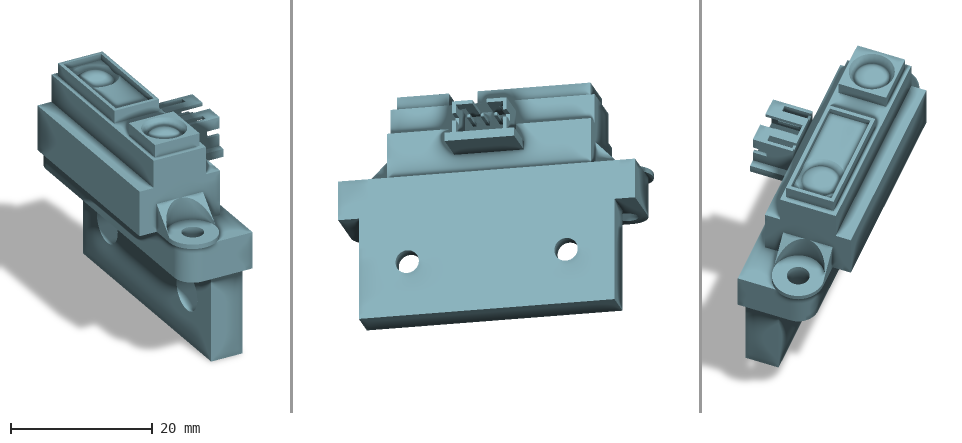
import cadquery as cq
import math


overall_width = 44.5
ear_diameter = 7.48
ear_hole_diameter = 3.2
ear_spacing = overall_width - ear_diameter
ear_xs = (-ear_spacing / 2, ear_spacing / 2)

corner_radius = 3.0
shelf_width = ear_spacing + 2 * corner_radius
shelf_depth = 11.0
shelf_thickness = 5.8
shelf_front = -corner_radius
bracket_back = shelf_front + shelf_depth
leg_width = ear_spacing
leg_height = 15.0
leg_thickness = 5.05
leg_front = bracket_back - leg_thickness
mount_hole_diameter = 3.4
mount_bore_diameter = 6.0
mount_bore_depth = 3.0
mount_hole_spacing = 23.0
mount_hole_height = 8.0
seat_height = leg_height + shelf_thickness

body_width = overall_width - 2 * ear_diameter
body_depth = 13.0
body_height = 7.1
body_back = body_depth / 2
neck_depth = 8.45
neck_height = 4.35
neck_top = seat_height + body_height + neck_height
tower_depth = 7.2
tower_height = 2.0
tower_margin = 0.75
tower_top = neck_top + tower_height
ear_thickness = 0.7

long_tower_width = 16.35
short_tower_width = 7.5
long_tower_x = -body_width / 2 + tower_margin + long_tower_width / 2
short_tower_x = body_width / 2 - tower_margin - short_tower_width / 2

window_wall = 0.55
window_depth = 1.0
long_lens_x = -9.75
long_lens_mouth = 6.9
long_lens_base = 5.4
long_lens_depth = 0.6
long_lens_rise = 1.05
short_lens_mouth = 6.5
short_lens_base = 5.05
short_lens_depth = 1.15
short_lens_rise = 1.0

connector_length = 6.0
connector_back = body_back + connector_length
base_width = 10.05
base_lift = 3.2
base_bottom = seat_height + base_lift
base_thickness = 1.25
socket_bottom = base_bottom + base_thickness
socket_width = 7.88
socket_height = 4.6
socket_top = socket_bottom + socket_height
socket_wall = 0.55
rear_wall = 0.4
key_slot_width = 2.05
side_slot_lift = 1.75
side_slot_bottom = socket_bottom + side_slot_lift
side_slot_height = 1.05
side_slot_length = 2.05
latch_width = 1.0
latch_length = 4.05
pin_size = 0.5
pin_length = 4.45
pin_tip = 0.1
pin_lift = 2.6
pin_bottom = socket_bottom + pin_lift
pin_pitch = 1.95
pin_count = 3


def block(x_size, y_range, z_range, x_middle=0.0):
    """Box centred on x_middle that spans the given Y and Z ranges."""
    y_start, y_end = y_range
    z_start, z_end = z_range
    box = cq.Workplane("XY").box(x_size, y_end - y_start, z_end - z_start, centered=(True, False, False))
    return box.translate((x_middle, y_start, z_start))


def upright_cylinder(diameter, x, z_range):
    """Vertical cylinder on the ear axis row (Y = 0)."""
    z_start, z_end = z_range
    return cq.Workplane("XY", origin=(x, 0, z_start)).circle(diameter / 2).extrude(z_end - z_start)


def make_bracket():
    """Upright leg under a shelf that carries the sensor's ears."""
    shelf = block(shelf_width, (shelf_front, bracket_back), (leg_height, seat_height))
    shelf = shelf.edges("|Z and <Y").fillet(corner_radius)
    leg = block(leg_width, (leg_front, bracket_back), (0, leg_height))
    bracket = shelf.union(leg)
    for x in ear_xs:
        bracket = bracket.cut(upright_cylinder(ear_hole_diameter, x, (leg_height, seat_height)))
    leg_face = cq.Workplane("XZ", origin=(0, leg_front, mount_hole_height))
    mount_holes = leg_face.rarray(mount_hole_spacing, 0.45, 2, 1)
    bores = mount_holes.circle(mount_bore_diameter / 2).extrude(-mount_bore_depth)
    holes = mount_holes.circle(mount_hole_diameter / 2).extrude(-leg_thickness)
    return bracket.cut(bores).cut(holes)


def add_ear(housing, x):
    """Round screw ear joined to the body end by a 45 degree gusset."""
    side = math.copysign(1, x)
    ear_top = seat_height + ear_thickness
    body_end = side * body_width / 2
    gusset_rise = abs(x - body_end)
    gusset = (
        cq.Workplane("XZ")
        .moveTo(x, seat_height)
        .lineTo(x, ear_top)
        .lineTo(body_end, ear_top + gusset_rise)
        .lineTo(body_end, seat_height)
        .close()
        .extrude(ear_diameter / 2, both=True)
    )
    screw_head_room = upright_cylinder(ear_diameter, x, (ear_top, ear_top + gusset_rise))
    ear = upright_cylinder(ear_diameter, x, (seat_height, ear_top))
    hole = upright_cylinder(ear_hole_diameter, x, (seat_height, ear_top))
    return housing.union(gusset.cut(screw_head_room).union(ear)).cut(hole)


def lens_pocket(x, z, mouth, base, depth):
    """Conical pocket that narrows from its mouth at height z to the base diameter."""
    pocket = cq.Solid.makeCone(base / 2, mouth / 2, depth)
    return cq.Workplane(pocket).translate((x, 0, z - depth))


def lens_dome(x, z, base, rise):
    """Spherical cap that stands on a base circle at height z."""
    base_radius = base / 2
    sphere_radius = (base_radius**2 + rise**2) / (2 * rise)
    sphere = cq.Workplane("XY").sphere(sphere_radius).translate((x, 0, z + rise - sphere_radius))
    return sphere.intersect(upright_cylinder(base, x, (z, z + rise)))


def make_connector():
    """Open-backed socket on a wider base, with pins inside."""
    base = block(base_width, (body_back, connector_back), (base_bottom, socket_bottom))
    socket = block(socket_width, (body_back, connector_back), (socket_bottom, socket_top))
    cavity_front = body_back + rear_wall
    cavity_width = socket_width - 2 * socket_wall
    cavity_top = socket_top - socket_wall
    cavity = block(cavity_width, (cavity_front, connector_back), (socket_bottom, cavity_top))
    key_slot = block(key_slot_width, (cavity_front, connector_back), (cavity_top, socket_top))
    side_slots = block(
        socket_width,
        (connector_back - side_slot_length, connector_back),
        (side_slot_bottom, side_slot_bottom + side_slot_height),
    )
    socket = socket.cut(cavity).cut(key_slot).cut(side_slots)
    latch_x = (cavity_width - latch_width) / 2
    for x in (-latch_x, latch_x):
        latch_window = block(latch_width, (body_back, body_back + latch_length), (cavity_top, socket_top), x)
        socket = socket.cut(latch_window)
    connector = base.union(socket)
    for index in range(pin_count):
        x = (index - (pin_count - 1) / 2) * pin_pitch
        pin = block(pin_size, (body_back, body_back + pin_length), (pin_bottom, pin_bottom + pin_size), x)
        connector = connector.union(pin.faces(">Y").edges().chamfer(pin_tip))
    return connector


def make_sensor():
    """Stepped sensor housing with ears, two lens towers and a connector."""
    body = block(body_width, (-body_back, body_back), (seat_height, seat_height + body_height))
    neck = block(body_width, (-neck_depth / 2, neck_depth / 2), (seat_height + body_height, neck_top))
    housing = body.union(neck)

    tower_span = (-tower_depth / 2, tower_depth / 2)
    housing = housing.union(block(long_tower_width, tower_span, (neck_top, tower_top), long_tower_x))
    housing = housing.union(block(short_tower_width, tower_span, (neck_top, tower_top), short_tower_x))

    window_half_depth = tower_depth / 2 - window_wall
    window_floor = tower_top - window_depth
    window = block(
        long_tower_width - 2 * window_wall,
        (-window_half_depth, window_half_depth),
        (window_floor, tower_top),
        long_tower_x,
    )
    long_pocket = lens_pocket(long_lens_x, window_floor, long_lens_mouth, long_lens_base, long_lens_depth)
    long_pocket = long_pocket.intersect(
        block(body_width, (-window_half_depth, window_half_depth), (seat_height, tower_top))
    )
    short_pocket = lens_pocket(short_tower_x, tower_top, short_lens_mouth, short_lens_base, short_lens_depth)
    housing = housing.cut(window).cut(long_pocket).cut(short_pocket)
    housing = housing.union(
        lens_dome(long_lens_x, window_floor - long_lens_depth, long_lens_base, long_lens_rise)
    )
    housing = housing.union(
        lens_dome(short_tower_x, tower_top - short_lens_depth, short_lens_base, short_lens_rise)
    )

    for x in ear_xs:
        housing = add_ear(housing, x)
    return housing.union(make_connector())


bracket = make_bracket()
sensor = make_sensor()
result = cq.Compound.makeCompound([bracket.val(), sensor.val()])